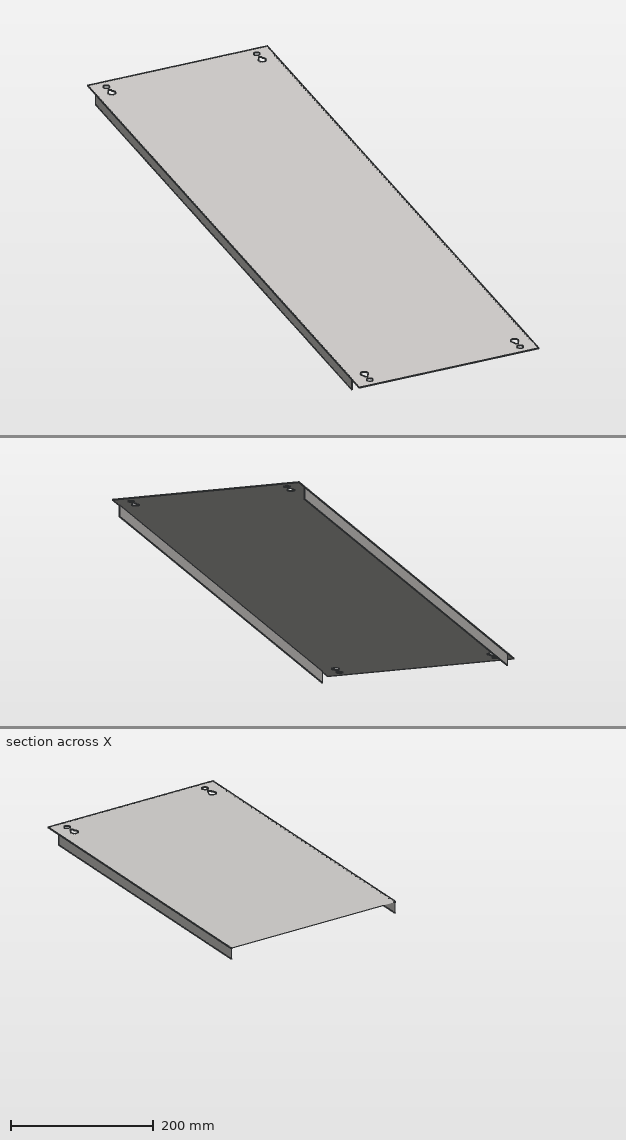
import cadquery as cq

length = 937.0
width = 275.5
height = 18.0
sheet = 1.5

flange_setback = 26.0
flange_inset = 0.2
flange_length = length - 2 * flange_setback

hole_diameter = 9.0
hole_from_end = 14.0
holes_from_side = 22.5
keyhole_diameter = 11.0
keyhole_from_end = 33.0
slot_width = 6.0
slot_tip_from_end = 23.0


def make_panel():
    panel = cq.Workplane("XY").box(length, width, sheet, centered=(True, True, False))
    return panel.translate((0, 0, -sheet))


def make_flange(side):
    """Flange set slightly in from the long edge on the given side (-1 or 1) of Y."""
    flange = cq.Workplane("XY").box(flange_length, sheet, height, centered=(True, True, False))
    return flange.translate((0, side * (width / 2 - flange_inset - sheet / 2), -height))


def make_corner_cutter(end, side):
    """Round hole and keyhole, its slot pointing to the panel end, for one corner."""
    y = side * (width / 2 - holes_from_side)

    def x_at(from_end):
        return end * (length / 2 - from_end)

    base = cq.Workplane("XY").workplane(offset=-sheet)
    round_hole = base.center(x_at(hole_from_end), y).circle(hole_diameter / 2).extrude(sheet)
    keyhole = base.center(x_at(keyhole_from_end), y).circle(keyhole_diameter / 2).extrude(sheet)

    slot_end_from_end = keyhole_from_end + slot_width / 2
    slot_length = slot_end_from_end - slot_tip_from_end
    slot_middle = (slot_tip_from_end + slot_end_from_end) / 2
    slot = base.center(x_at(slot_middle), y).slot2D(slot_length, slot_width).extrude(sheet)
    return round_hole.union(keyhole).union(slot)


result = make_panel()
for side in (-1, 1):
    result = result.union(make_flange(side))
for end in (-1, 1):
    for side in (-1, 1):
        result = result.cut(make_corner_cutter(end, side))